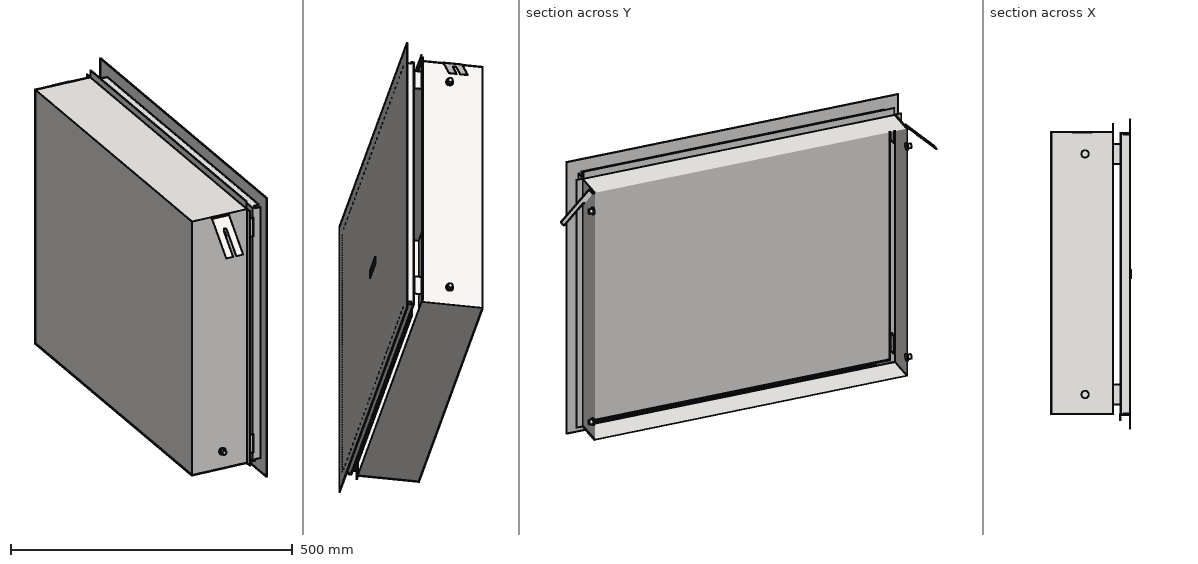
import cadquery as cq
import math

overall_width = 720.0
door_sheet = 1.6
sheet = 1.0

panel_width = 639.5
panel_height = 550.0
plaque_width = 51.0
plaque_height = 14.5
plaque_rise = 1.0

pan_width = 595.0
pan_depth = 16.5
pan_top = 251.0
pan_bottom = -251.0
corner_gap = 4.0
corner_drop = 3.0
seam_depth = 11.0
arm_height = 36.0
lip_width = 539.0
lip_height = 9.5
hook_height = 6.0

housing_width = 603.5
housing_top = 253.0
housing_bottom = -249.0
housing_front = -141.0
rim_y = -30.0
side_flange = 11.5
top_flange = 14.0
flange_setback = 2.0

stud_y = -81.0
stud_heights = [213.0, -214.0]
stud_diameter = 9.0
stud_length = 9.0
collar_diameter = 13.0
collar_thickness = 2.0

bracket_y = -86.0
bracket_width = 34.0
slope = math.radians(45)
bracket_drop = 1.5
bracket_ledge = 3.5
slot_width = 6.5
slot_start = 39.0

panel_front = -door_sheet
pan_front = panel_front - pan_depth
wall_x = housing_width / 2
tip_x = overall_width / 2
bracket_top = housing_top - bracket_drop


def block(x0, x1, y0, y1, z0, z1):
    """Axis-aligned box between two opposite corners."""
    return cq.Workplane("XY").box(x1 - x0, y1 - y0, z1 - z0, centered=False).translate((x0, y0, z0))


def span(side, inner, outer):
    """X range between two distances from the middle plane, on the given side of it."""
    return sorted((side * inner, side * outer))


def make_panel():
    half_width = panel_width / 2
    half_height = panel_height / 2
    sheet_body = block(-half_width, half_width, panel_front, 0, -half_height, half_height)
    plaque = block(
        -plaque_width / 2, plaque_width / 2, 0, plaque_rise, -plaque_height / 2, plaque_height / 2
    )
    return sheet_body.union(plaque)


def make_lip():
    """Strip hanging below the pan, with its lower edge hooked back."""
    half = lip_width / 2
    bottom = pan_bottom - lip_height
    strip = block(-half, half, pan_front - sheet, pan_front, bottom, pan_bottom + door_sheet)
    hook = block(-half, half, pan_front, pan_front + sheet, bottom, bottom + hook_height)
    return strip.union(hook)


def make_arm(side, z):
    """Arm from the front plate of the pan to the back face of the housing rim."""
    outer = wall_x - door_sheet
    plate_edge = pan_width / 2 - door_sheet
    z_range = (z - arm_height / 2, z + arm_height / 2)
    root = block(*span(side, plate_edge, outer), pan_front, pan_front + door_sheet, *z_range)
    arm = block(*span(side, outer - door_sheet, outer), rim_y, pan_front + door_sheet, *z_range)
    return root.union(arm)


def make_pan():
    half = pan_width / 2
    inner = half - door_sheet
    pan = block(-half, half, pan_front, panel_front, pan_bottom, pan_top)
    pan = pan.cut(
        block(
            -inner, inner, pan_front + door_sheet, panel_front,
            pan_bottom + door_sheet, pan_top - door_sheet,
        )
    )
    for side in (-1, 1):
        notch_x = span(side, inner - corner_gap, half)
        notch_y = (panel_front - seam_depth, panel_front)
        for z_range in ((pan_bottom, pan_bottom + corner_drop), (pan_top - corner_drop, pan_top)):
            pan = pan.cut(block(*notch_x, *notch_y, *z_range))
        for z in stud_heights:
            pan = pan.union(make_arm(side, z))
    return pan.union(make_lip())


def make_stud(side, z):
    """Collared stud standing out from a side wall of the housing."""
    wall = cq.Workplane("YZ", origin=(side * wall_x, stud_y, z))
    collar = wall.circle(collar_diameter / 2).extrude(side * collar_thickness)
    return collar.union(wall.circle(stud_diameter / 2).extrude(side * stud_length))


def make_housing():
    housing = block(-wall_x, wall_x, housing_front, rim_y, housing_bottom, housing_top)
    housing = housing.cut(
        block(
            -wall_x + sheet, wall_x - sheet, housing_front + sheet, rim_y,
            housing_bottom + sheet, housing_top - sheet,
        )
    )
    top_flange_x = wall_x - flange_setback
    flange_y = (rim_y - sheet, rim_y)
    housing = housing.union(
        block(-top_flange_x, top_flange_x, *flange_y, housing_top - sheet, housing_top + top_flange)
    )
    for side in (-1, 1):
        flange_x = span(side, wall_x - sheet, wall_x + side_flange)
        housing = housing.union(block(*flange_x, *flange_y, housing_bottom, housing_top))
        for z in stud_heights:
            housing = housing.union(make_stud(side, z))
    return housing


def make_bracket(side):
    """Strap with a short flat ledge at the wall, then sloping down and out."""
    bend_x = wall_x + bracket_ledge
    drop = (tip_x - bend_x) * math.tan(slope)
    slope_offset = sheet * math.sin(slope)
    ledge_offset = sheet * math.tan(slope / 2)
    strap = (
        cq.Workplane("XZ", origin=(0, bracket_y, 0))
        .moveTo(wall_x, bracket_top)
        .lineTo(bend_x, bracket_top)
        .lineTo(tip_x, bracket_top - drop)
        .lineTo(tip_x - slope_offset, bracket_top - drop - slope_offset)
        .lineTo(bend_x - ledge_offset, bracket_top - sheet)
        .lineTo(wall_x, bracket_top - sheet)
        .close()
        .extrude(bracket_width / 2, both=True)
    )
    slot_centre_x = tip_x - slot_start + slot_width / 2
    slot_z = (bracket_top - 2 * drop, bracket_top)
    slot = block(
        slot_centre_x, tip_x, bracket_y - slot_width / 2, bracket_y + slot_width / 2, *slot_z
    )
    slot_end = (
        cq.Workplane("XY", origin=(slot_centre_x, bracket_y, slot_z[0]))
        .circle(slot_width / 2)
        .extrude(2 * drop)
    )
    strap = strap.cut(slot).cut(slot_end)
    return strap if side > 0 else strap.mirror("YZ")


panel = make_panel()
pan = make_pan()
housing = make_housing()
brackets = [make_bracket(side) for side in (-1, 1)]

result = cq.Compound.makeCompound(
    [panel.val(), pan.val(), housing.val(), *[bracket.val() for bracket in brackets]]
)